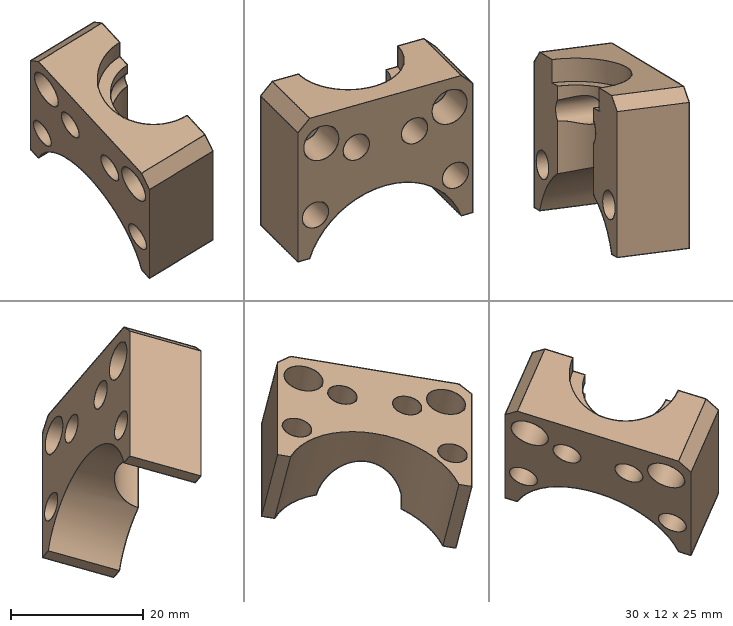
import cadquery as cq

width = 30.0
depth = 12.0
height = 25.0
corner_chamfer = 2.0

foot_width = 2.0
arch_height = 9.2

collar_radius = 8.5
collar_depth = 3.65
neck_radius = 6.5

bolt_diameter = 4.5
upper_bolt_spacing = 10.0
upper_bolt_drop = 7.5
lower_bolt_spacing = 24.0
lower_bolt_drop = 17.5
pocket_diameter = 6.0
pocket_spacing = 22.0
pocket_drop = 5.0
pocket_depth = 6.0


def make_block():
    """Block with its two upper side corners chamfered and the arch cut away."""
    half_width = width / 2
    arch_half_width = half_width - foot_width
    outline = (
        cq.Workplane("XZ")
        .moveTo(-half_width, 0)
        .lineTo(-arch_half_width, 0)
        .threePointArc((0, arch_height), (arch_half_width, 0))
        .lineTo(half_width, 0)
        .lineTo(half_width, height - corner_chamfer)
        .lineTo(half_width - corner_chamfer, height)
        .lineTo(corner_chamfer - half_width, height)
        .lineTo(-half_width, height - corner_chamfer)
        .close()
    )
    return outline.extrude(-depth)


def back_groove(radius, length):
    """Vertical cylinder centred on the back face, reaching down from the top."""
    return cq.Workplane("XY", origin=(0, depth, height)).circle(radius).extrude(-length)


def hole_pair(diameter, spacing, drop, hole_depth):
    """Two mirrored cylinders running back from the front face."""
    z = height - drop
    centres = [(-spacing / 2, z), (spacing / 2, z)]
    return cq.Workplane("XZ").pushPoints(centres).circle(diameter / 2).extrude(-hole_depth)


result = (
    make_block()
    .cut(back_groove(collar_radius, collar_depth))
    .cut(back_groove(neck_radius, height))
    .cut(hole_pair(bolt_diameter, upper_bolt_spacing, upper_bolt_drop, depth))
    .cut(hole_pair(bolt_diameter, lower_bolt_spacing, lower_bolt_drop, depth))
    .cut(hole_pair(pocket_diameter, pocket_spacing, pocket_drop, pocket_depth))
)